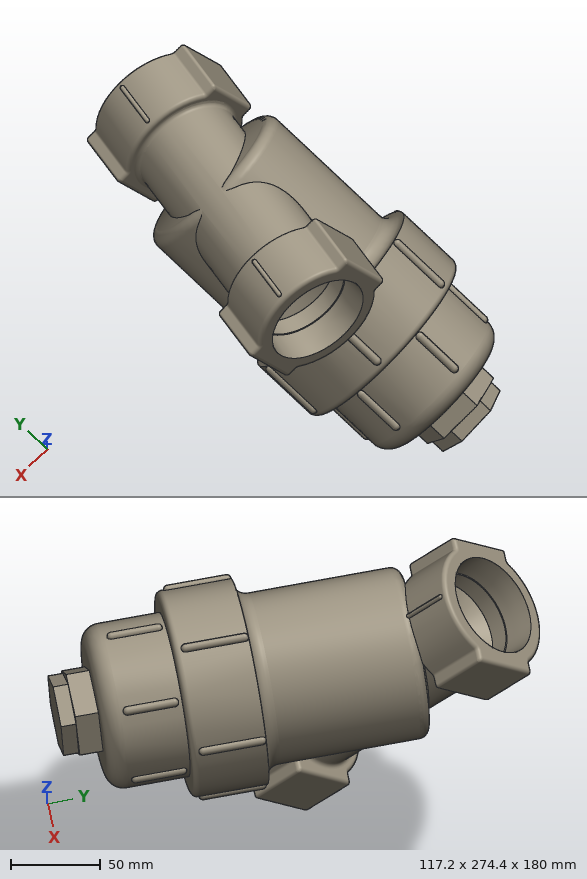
import cadquery as cq
import math


plug_tip_end = 8.5
plug_tip_corner_radius = 23.3
plug_tip_turn = -11
plug_base_end = 21.7
plug_base_corner_radius = 26.5

cap_radius = 46.7
cap_front_fillet = 10.5
nut_front = 67.3
nut_back = 109.8
nut_radius = 58.6
nut_front_fillet = 3.3
collar_fillet = 8.2
body_radius = 48.5
body_back_fillet = 6.3
body_dome_start = 204.2
body_dome_radius = 208.5

grip_rib_radius = 2.5
grip_rib_count = 6
cap_rib_front = 33.8
cap_rib_back = 65.3
nut_rib_front = 71.5

pipe_crossing = 206.5
pipe_angle = 45
pipe_radius = 30.7
upper_end = 60.0
lower_end = -122.5
port_length = 37.0
port_radius = 37.5
port_fillet = 2.5
lug_half_span = 39.0
lug_width = 41.7
lug_root_fillet = 2.0
lug_side_fillet = 1.6
pipe_root_fillet = 2.7
port_rib_radius = 1.5
port_rib_length = 30.2

mouth_radius = 29.5
mouth_inner_radius = 28.3
mouth_depth = 18.0
drill_radius = 27.5
drill_depth = 28.8
drill_point_angle = 118


def make_turned_body():
    """Cap, nut and body in one revolved profile of (radius, Y) points."""
    arc = math.sqrt(0.5)
    cap_center_r = cap_radius - cap_front_fillet
    cap_center_y = plug_base_end + cap_front_fillet
    nut_center_r = nut_radius - nut_front_fillet
    nut_center_y = nut_front + nut_front_fillet
    collar_center_r = body_radius + collar_fillet
    collar_center_y = nut_back + collar_fillet
    back_center_r = body_radius - body_back_fillet
    back_center_y = body_dome_start - body_back_fillet
    dome_rise = body_dome_radius - math.sqrt(body_dome_radius**2 - back_center_r**2)
    mid_r = back_center_r / 2
    dome_sag = body_dome_radius - math.sqrt(body_dome_radius**2 - mid_r**2)
    dome_top = body_dome_start + dome_rise
    return (
        cq.Workplane("XY")
        .moveTo(0, plug_base_end)
        .lineTo(cap_center_r, plug_base_end)
        .threePointArc(
            (cap_center_r + cap_front_fillet * arc, cap_center_y - cap_front_fillet * arc),
            (cap_radius, cap_center_y),
        )
        .lineTo(cap_radius, nut_front)
        .lineTo(nut_center_r, nut_front)
        .threePointArc(
            (nut_center_r + nut_front_fillet * arc, nut_center_y - nut_front_fillet * arc),
            (nut_radius, nut_center_y),
        )
        .lineTo(nut_radius, nut_back)
        .lineTo(collar_center_r, nut_back)
        .threePointArc(
            (collar_center_r - collar_fillet * arc, collar_center_y - collar_fillet * arc),
            (body_radius, collar_center_y),
        )
        .lineTo(body_radius, back_center_y)
        .threePointArc(
            (back_center_r + body_back_fillet * arc, back_center_y + body_back_fillet * arc),
            (back_center_r, body_dome_start),
        )
        .threePointArc((mid_r, dome_top - dome_sag), (0, dome_top))
        .close()
        .revolve(360, (0, 0, 0), (0, 1, 0))
    )


def make_plug():
    """Two stacked hexagons, the front one smaller and turned about Y."""
    base = (
        cq.Workplane("XZ", origin=(0, cap_front_fillet + plug_base_end, 0))
        .polygon(6, 2 * plug_base_corner_radius)
        .extrude(cap_front_fillet + plug_base_end - plug_tip_end)
    )
    tip = (
        cq.Workplane("XZ", origin=(0, plug_tip_end, 0))
        .transformed(rotate=(0, 0, plug_tip_turn))
        .polygon(6, 2 * plug_tip_corner_radius)
        .extrude(plug_tip_end)
    )
    return base.union(tip)


def make_rib(radius, length):
    """Round bar with domed ends, along +Z from the origin."""
    arc = radius * math.sqrt(0.5)
    return (
        cq.Workplane("XZ")
        .threePointArc((arc, radius - arc), (radius, radius))
        .lineTo(radius, length - radius)
        .threePointArc((arc, length - radius + arc), (0, length))
        .close()
        .revolve(360, (0, 0, 0), (0, 1, 0))
    )


def make_grip_ribs(surface_radius, front, back, first_angle):
    """Ribs half sunk in a cylinder about Y, evenly spaced around it."""
    rib = make_rib(grip_rib_radius, back - front).rotate((0, 0, 0), (1, 0, 0), -90)
    rib = rib.translate((surface_radius, front, 0))
    ribs = cq.Workplane("XY")
    for index in range(grip_rib_count):
        angle = first_angle + index * 360 / grip_rib_count
        ribs = ribs.add(rib.rotate((0, 0, 0), (0, 1, 0), angle))
    return ribs.vals()


def make_port():
    """Round port with two flat side lugs; its mouth is at Z = 0 and it extends to -Z."""
    lugs = (
        cq.Workplane("XY")
        .rect(2 * lug_half_span, lug_width)
        .extrude(-port_length)
        .edges("|Z")
        .fillet(lug_side_fillet)
    )
    port = cq.Workplane("XY").circle(port_radius).extrude(-port_length).union(lugs)
    root_x = math.sqrt(port_radius**2 - (lug_width / 2) ** 2)
    for x in (-root_x, root_x):
        for y in (-lug_width / 2, lug_width / 2):
            root = cq.selectors.NearestToPointSelector((x, y, -port_length / 2))
            port = port.edges("|Z").edges(root).fillet(lug_root_fillet)
    port = port.faces("<Z or >Z").edges().fillet(port_fillet)
    rib = make_rib(port_rib_radius, port_rib_length)
    rib = rib.translate((port_radius, 0, -(port_length + port_rib_length) / 2))
    for angle in (90, 270):
        port = port.union(rib.rotate((0, 0, 0), (0, 0, 1), angle))
    return port


def make_bore():
    """Cutter for the port bore, entering at Z = 0 towards -Z."""
    point_depth = drill_radius / math.tan(math.radians(drill_point_angle / 2))
    return (
        cq.Workplane("XZ")
        .polyline(
            [
                (0, 0),
                (mouth_radius, 0),
                (mouth_inner_radius, -mouth_depth),
                (drill_radius, -mouth_depth),
                (drill_radius, -drill_depth),
                (0, -drill_depth - point_depth),
            ]
        )
        .close()
        .revolve(360, (0, 0, 0), (0, 1, 0))
    )


def at_pipe_ends(shape):
    """Two copies of a shape made at Z = 0, one on each end of the pipe (along Z)."""
    upper = shape.translate((0, 0, upper_end))
    lower = shape.rotate((0, 0, 0), (1, 0, 0), 180).translate((0, 0, lower_end))
    return upper, lower


def place_pipe(shape):
    """Tilt a shape made along Z so that +Z points to the back and up, and move it into place."""
    return shape.rotate((0, 0, 0), (1, 0, 0), -pipe_angle).translate((0, pipe_crossing, 0))


def make_pipe():
    """Pipe along Z with a port on each end and a fillet where it meets them."""
    inner_upper = upper_end - port_length
    inner_lower = lower_end + port_length
    pipe = (
        cq.Workplane("XY")
        .workplane(offset=inner_lower - port_fillet)
        .circle(pipe_radius)
        .extrude(inner_upper - inner_lower + 2 * port_fillet)
    )
    for port in at_pipe_ends(make_port()):
        pipe = pipe.union(port)
    roots = cq.selectors.BoxSelector(
        (-pipe_radius - 2.7, -pipe_radius - 2.7, inner_lower - 0.3),
        (pipe_radius + 2.7, pipe_radius + 2.7, inner_upper + 0.3),
    )
    return pipe.edges("%CIRCLE").edges(roots).fillet(pipe_root_fillet)


result = make_turned_body().union(make_plug()).union(place_pipe(make_pipe()))
for rib in make_grip_ribs(cap_radius, cap_rib_front, cap_rib_back, 0):
    result = result.union(cq.Workplane(rib))
for rib in make_grip_ribs(nut_radius, nut_rib_front, nut_back, 30):
    result = result.union(cq.Workplane(rib))
for bore in at_pipe_ends(make_bore()):
    result = result.cut(place_pipe(bore))